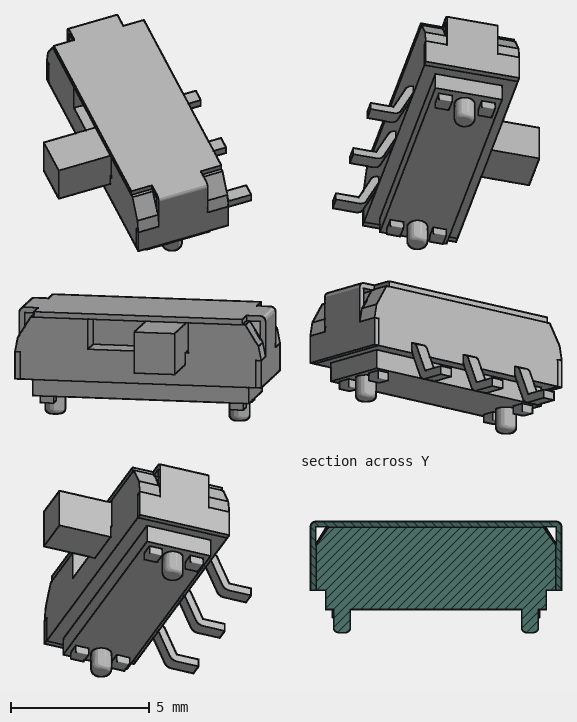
import cadquery as cq
import math


body_length = 9.1
body_width = 3.5
body_height = 2.5

sheet_thickness = 0.2
corner_notch_length = 0.7
corner_notch_width = 0.8
tab_width = body_width - 2 * corner_notch_width

block_height = body_height - sheet_thickness
bevel_inset = 0.58
bevel_break_inset = 0.1
bevel_break_height = body_height - 0.97
bevel_foot_height = body_height - 1.49
relief_inset = 0.655
relief_drop = 0.655

plinth_length = 7.99
plinth_width = 2.49
plinth_height = 0.69
pin_diameter = 0.75
pin_length = 0.855
pin_tip_radius = 0.19
pin_offset = 3.4
pad_size = 0.5
pad_height = 0.29
pad_edge_radius = 0.03
pad_offset_x = 3.5
pad_offset_y = 0.8

lead_count = 3
lead_pitch = 2.5
lead_width = 0.5
lead_thickness = 0.31
lead_reach = 1.59
lead_foot_length = 0.855
lead_top = 0.37
lead_bottom = -1.11

window_length = 3.71
window_height = 1.11
window_depth = 1.0
slider_width = 1.49
slider_height = 1.51
slider_protrusion = 2.0
slider_offset = 1.0
slider_gap = 0.03

half_length = body_length / 2
front_y = -body_width / 2
back_y = body_width / 2


def upright_box(length, width, height, x, y, base_z):
    """Box centred at (x, y), standing on base_z."""
    centre = (x, y, base_z + height / 2)
    return cq.Workplane("XY").box(length, width, height).translate(centre)


def make_cover():
    """Top plate folded down at both ends; each fold is a narrow tab over a full-width skirt."""
    cover = upright_box(body_length, body_width, body_height, 0, 0, 0)
    cover = cover.edges("|Y and >Z").fillet(sheet_thickness)
    inner_length = body_length - 2 * sheet_thickness
    cover = cover.cut(upright_box(inner_length, body_width, block_height, 0, 0, 0))
    notch_height = body_height - bevel_foot_height
    for side_x in (-1, 1):
        for side_y in (-1, 1):
            notch_x = side_x * (body_length - corner_notch_length) / 2
            notch_y = side_y * (body_width - corner_notch_width) / 2
            notch = upright_box(
                corner_notch_length, corner_notch_width, notch_height, notch_x, notch_y, bevel_foot_height
            )
            cover = cover.cut(notch)
    return cover.solids()


def make_slider():
    """Straight square bar reaching from the back of the window out past the front face."""
    length = slider_protrusion + window_depth
    centre_y = front_y - slider_protrusion + length / 2
    base_z = block_height - slider_gap - slider_height
    return upright_box(slider_width, length, slider_height, slider_offset, centre_y, base_z)


def make_block():
    """Main block: the bevelled end profile extruded across the full width."""
    right_side = [
        (half_length, 0),
        (half_length, bevel_foot_height),
        (half_length - bevel_break_inset, bevel_break_height),
        (half_length - bevel_inset, block_height),
    ]
    left_side = [(-x, z) for x, z in reversed(right_side)]
    profile = cq.Workplane("XZ").polyline(right_side + left_side).close()
    return profile.extrude(body_width / 2, both=True)


def make_tab_relief():
    """Wedge behind the right-hand cover tab, where the block slopes away deeper than its bevels."""
    wedge = [
        (half_length, block_height),
        (half_length - relief_inset, block_height),
        (half_length - sheet_thickness, block_height - relief_drop),
        (half_length, block_height - relief_drop),
    ]
    return cq.Workplane("XZ").polyline(wedge).close().extrude(tab_width / 2, both=True)


def make_pin(x):
    """Round locating pin with a rounded tip, hanging from the plinth."""
    pin = cq.Workplane("XY").circle(pin_diameter / 2).extrude(-pin_length)
    return pin.faces("<Z").edges().fillet(pin_tip_radius).translate((x, 0, -plinth_height))


def make_pad(x, y):
    """Small square standoff with a softened lower rim."""
    pad = upright_box(pad_size, pad_size, pad_height, x, y, -plinth_height - pad_height)
    return pad.faces("<Z").edges().fillet(pad_edge_radius)


def make_lead(x):
    """Bent strip; both bends are sharp inside and concentric arcs outside."""
    upper_y = back_y
    upper_z = lead_top - lead_thickness
    lower_y = back_y + lead_reach - lead_foot_length
    lower_z = lead_bottom + lead_thickness
    run = lower_y - upper_y
    drop = upper_z - lower_z
    slope = math.atan2(drop, run) + math.asin(lead_thickness / math.hypot(run, drop))

    def on_bend(corner_y, corner_z, angle, direction):
        return (
            corner_y + direction * lead_thickness * math.sin(angle),
            corner_z + direction * lead_thickness * math.cos(angle),
        )

    tip_y = back_y + lead_reach
    profile = (
        cq.Workplane("YZ")
        .moveTo(upper_y, upper_z)
        .lineTo(upper_y, lead_top)
        .threePointArc(on_bend(upper_y, upper_z, slope / 2, 1), on_bend(upper_y, upper_z, slope, 1))
        .lineTo(lower_y, lower_z)
        .lineTo(tip_y, lower_z)
        .lineTo(tip_y, lead_bottom)
        .lineTo(lower_y, lead_bottom)
        .threePointArc(on_bend(lower_y, lower_z, slope / 2, -1), on_bend(lower_y, lower_z, slope, -1))
        .close()
    )
    return profile.extrude(lead_width / 2, both=True).translate((x, 0, 0))


def make_housing(cover, slider):
    """Block, plinth, pins, pads and leads as one body, recessed for the cover and the slider."""
    housing = make_block()
    tab_relief = make_tab_relief()
    housing = housing.cut(tab_relief).cut(tab_relief.mirror("YZ"))
    window_y = front_y + window_depth / 2
    window_base = block_height - window_height
    housing = housing.cut(upright_box(window_length, window_depth, window_height, 0, window_y, window_base))
    housing = housing.cut(slider).cut(cover)
    housing = housing.union(upright_box(plinth_length, plinth_width, plinth_height, 0, 0, -plinth_height))
    for side_x in (-1, 1):
        housing = housing.union(make_pin(side_x * pin_offset))
        for side_y in (-1, 1):
            housing = housing.union(make_pad(side_x * pad_offset_x, side_y * pad_offset_y))
    for index in range(lead_count):
        housing = housing.union(make_lead((index - (lead_count - 1) / 2) * lead_pitch))
    return housing.solids()


cover = make_cover()
slider = make_slider()
housing = make_housing(cover, slider)

result = cq.Compound.makeCompound([housing.val(), cover.val(), slider.val()])